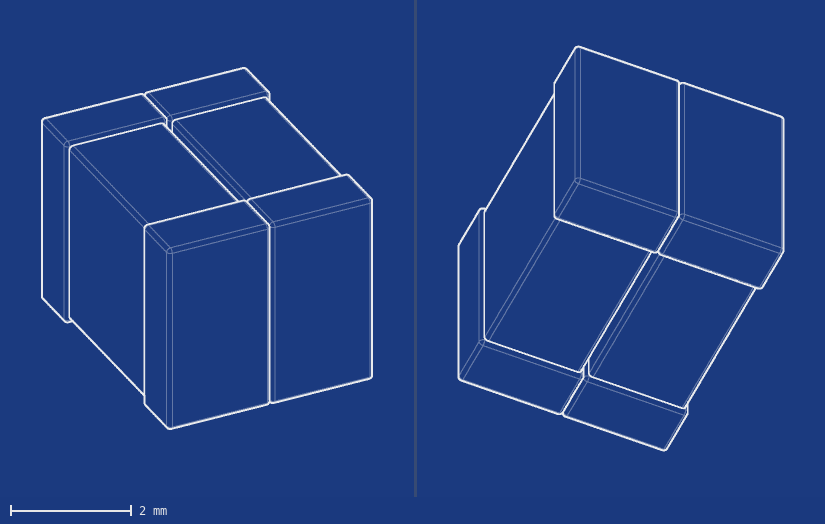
import cadquery as cq

LENGTH = 4.8
STACK_DEPTH = 3.8
HEIGHT = 3.5
CHIP_COUNT = 2

TERMINAL_WIDTH = 0.95
CERAMIC_DEPTH = 1.76

chip_depth = STACK_DEPTH / CHIP_COUNT
chip_centers_y = [(i - (CHIP_COUNT - 1) / 2) * chip_depth for i in range(CHIP_COUNT)]
terminal_center_x = (LENGTH - TERMINAL_WIDTH) / 2

step = (chip_depth - CERAMIC_DEPTH) / 2
edge_radius = step
ceramic_length = LENGTH - 2 * TERMINAL_WIDTH
ceramic_height = HEIGHT - 2 * step


def make_terminal(center_x):
    """One terminal: a rounded end cap per chip, joined where their flat sides meet."""
    cap = cq.Workplane("XY").box(TERMINAL_WIDTH, chip_depth, HEIGHT).edges().fillet(edge_radius)
    terminal = cq.Workplane("XY")
    for center_y in chip_centers_y:
        terminal = terminal.union(cap.translate((center_x, center_y, 0)))
    return terminal


def make_ceramic(center_y):
    """One ceramic block, butting flat against both terminals, its long edges rounded."""
    block = cq.Workplane("XY").box(ceramic_length, CERAMIC_DEPTH, ceramic_height)
    return block.edges("|X").fillet(edge_radius).translate((0, center_y, 0))


terminals = [make_terminal(side * terminal_center_x) for side in (-1, 1)]
ceramics = [make_ceramic(center_y) for center_y in chip_centers_y]

result = cq.Compound.makeCompound([body.solids().val() for body in terminals + ceramics])